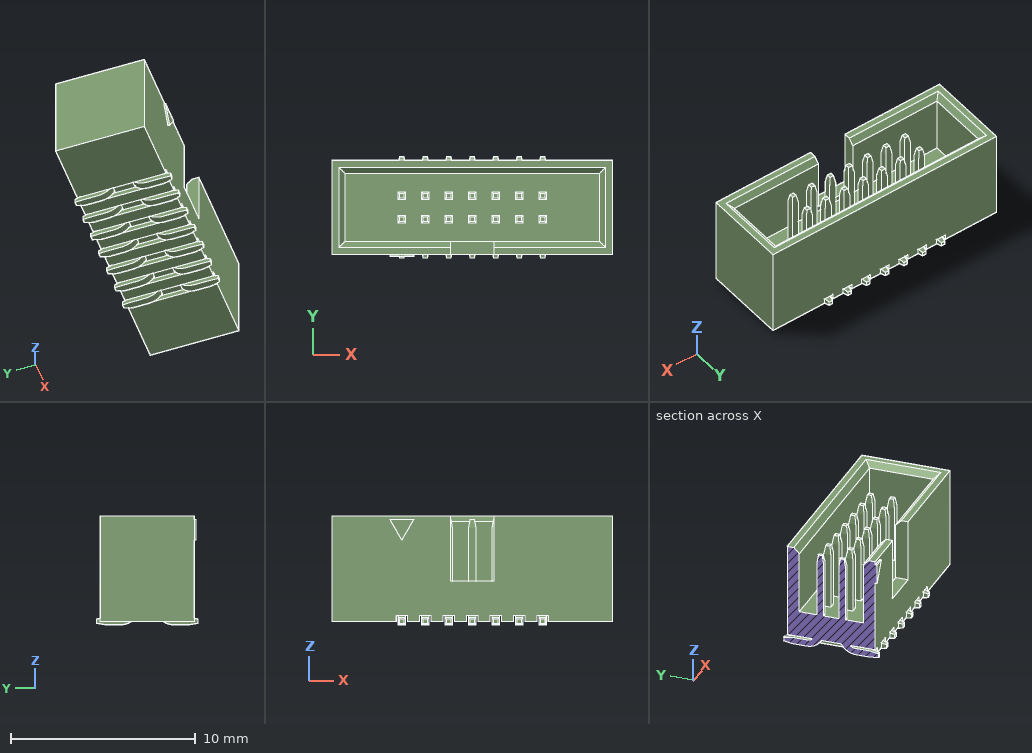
import cadquery as cq
import math

LENGTH = 15.19
WIDTH = 5.1
TOTAL_HEIGHT = 5.9
STANDOFF = 0.18
HOUSING_HEIGHT = TOTAL_HEIGHT - STANDOFF
WALL = 0.71
LEAD_IN = 0.32
FLOOR_Z = 2.05

NOTCH_WIDTH = 2.33
NOTCH_DEPTH = 3.53

MARK_SIDE = 1.3
MARK_THICKNESS = 0.1
MARK_TOP_GAP = 0.19

COLUMNS = 7
PITCH = 1.27
PIN_SIDE = 0.41
TIP_SIDE = 0.24
TIP_LENGTH = 0.5
PIN_TOP_GAP = 0.19
LEG_SPAN = 5.5
BEND_OUTER_RADIUS = 1.0
BEND_INNER_RADIUS = BEND_OUTER_RADIUS - PIN_SIDE

SLOT_WIDTH = 0.6
SLOT_HEIGHT = 0.32

COLUMN_X = [(i - (COLUMNS - 1) / 2) * PITCH for i in range(COLUMNS)]


def block(size_x, size_y, size_z, x, y, z_bottom):
    """Box centred at (x, y) and standing on z_bottom."""
    return cq.Workplane("XY").box(size_x, size_y, size_z, (True, True, False)).translate((x, y, z_bottom))


def make_housing():
    body = block(LENGTH, WIDTH, HOUSING_HEIGHT, 0, 0, STANDOFF)
    cavity_length = LENGTH - 2 * WALL
    cavity_width = WIDTH - 2 * WALL
    cavity = block(cavity_length, cavity_width, TOTAL_HEIGHT - FLOOR_Z, 0, 0, FLOOR_Z)
    lead_in = (
        cq.Workplane("XY", origin=(0, 0, TOTAL_HEIGHT))
        .rect(cavity_length + 2 * LEAD_IN, cavity_width + 2 * LEAD_IN)
        .workplane(offset=-LEAD_IN)
        .rect(cavity_length, cavity_width)
        .loft(ruled=True)
    )
    notch = block(NOTCH_WIDTH, WALL, NOTCH_DEPTH, 0, (WALL - WIDTH) / 2, TOTAL_HEIGHT - NOTCH_DEPTH)
    body = body.cut(cavity).cut(lead_in).cut(notch)
    for x in COLUMN_X:
        body = body.cut(block(SLOT_WIDTH, WIDTH, SLOT_HEIGHT, x, 0, STANDOFF))
    return body


def make_pin_one_mark():
    top = TOTAL_HEIGHT - MARK_TOP_GAP
    tip = top - MARK_SIDE * math.sqrt(3) / 2
    x = COLUMN_X[0]
    return (
        cq.Workplane("XZ", origin=(0, -WIDTH / 2, 0))
        .polyline([(x - MARK_SIDE / 2, top), (x + MARK_SIDE / 2, top), (x, tip)])
        .close()
        .extrude(MARK_THICKNESS)
    )


def make_tip(plane, base_centre):
    """Square taper standing on base_centre, pointing along the plane normal."""
    return (
        cq.Workplane(plane, origin=base_centre)
        .rect(PIN_SIDE, PIN_SIDE)
        .workplane(offset=TIP_LENGTH)
        .rect(TIP_SIDE, TIP_SIDE)
        .loft(ruled=True)
    )


def make_pin():
    """Front-row pin at X = 0: upright post, bend and surface-mount leg toward -Y."""
    inner_y = -PITCH / 2 + PIN_SIDE / 2
    outer_y = inner_y - PIN_SIDE
    bend_y = inner_y - BEND_OUTER_RADIUS
    bend_z = BEND_OUTER_RADIUS
    post_top = TOTAL_HEIGHT - PIN_TOP_GAP - TIP_LENGTH
    leg_end = -LEG_SPAN / 2 + TIP_LENGTH
    diagonal = math.sqrt(0.5)

    pin = (
        cq.Workplane("YZ", origin=(-PIN_SIDE / 2, 0, 0))
        .moveTo(leg_end, 0)
        .lineTo(bend_y, 0)
        .threePointArc(
            (bend_y + BEND_OUTER_RADIUS * diagonal, bend_z - BEND_OUTER_RADIUS * diagonal),
            (inner_y, bend_z),
        )
        .lineTo(inner_y, post_top)
        .lineTo(outer_y, post_top)
        .lineTo(outer_y, bend_z)
        .threePointArc(
            (bend_y + BEND_INNER_RADIUS * diagonal, bend_z - BEND_INNER_RADIUS * diagonal),
            (bend_y, PIN_SIDE),
        )
        .lineTo(leg_end, PIN_SIDE)
        .close()
        .extrude(PIN_SIDE)
    )
    post_tip = make_tip("XY", (0, -PITCH / 2, post_top))
    leg_tip = make_tip("XZ", (0, leg_end, PIN_SIDE / 2))
    return pin.union(post_tip).union(leg_tip)


front_pin = make_pin()
rear_pin = front_pin.mirror("XZ")

result = make_housing().union(make_pin_one_mark())
for column_x in COLUMN_X:
    for pin in (front_pin, rear_pin):
        result = result.union(pin.translate((column_x, 0, 0)))